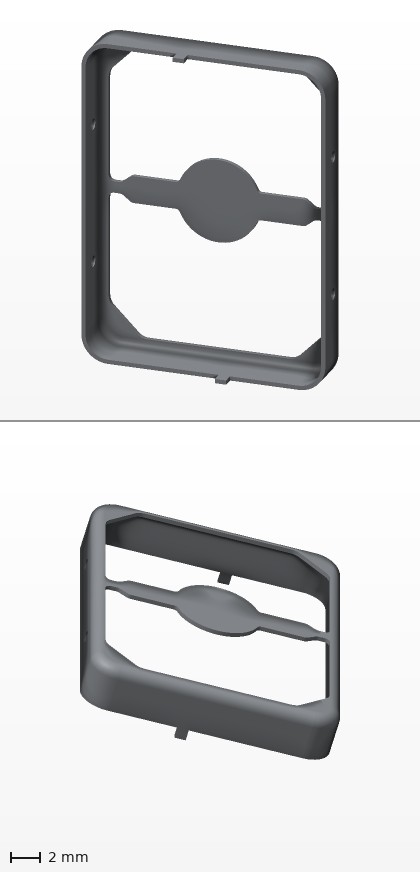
import cadquery as cq

width = 17.5
height = 23.3
total_depth = 4.1
tab_length = 0.8
body_depth = total_depth - tab_length
wall = 0.3
corner_radius = 1.9
rim_radius = 0.8
inner_rim_radius = rim_radius - wall

window_margin = 0.89
window_chamfer = 2.35
window_round = 1.0
window_half_width = width / 2 - window_margin
window_half_height = height / 2 - window_margin

disc_radius = 3.0
disc_fillet = 0.3
bar_half_height = 0.98
neck_half_height = 0.42
neck_length = 0.93
flare_length = 0.72
neck_round = 0.4
flare_round = 0.5

tab_width = 0.8
tab_offset = 1.51

hole_diameter = 0.8
hole_spacing = 10.0
hole_from_floor = 1.75

floor_outer_y = total_depth / 2
floor_inner_y = floor_outer_y - wall
open_rim_y = floor_outer_y - body_depth
pick_margin = 0.05


def rounded_block(size_x, size_z, y_front, y_back, radius, edge_radius):
    """Block with rounded corners along Y and a rounded +Y edge."""
    depth = y_back - y_front
    block = cq.Workplane("XY").box(size_x, depth, size_z)
    block = block.translate((0, (y_front + y_back) / 2, 0))
    block = block.edges("|Y").fillet(radius)
    return block.faces(">Y").edges().fillet(edge_radius)


def move_to_floor(solid):
    """Move a solid extruded toward +Y from Y = 0 into the floor layer."""
    return solid.translate((0, floor_inner_y, 0))


def upright_edges(body, x_reach, z_reach, x_center=0):
    """Edges along Y lying within the given reach of (x_center, 0) in X and Z."""
    box = cq.selectors.BoxSelector(
        (x_center - x_reach, -total_depth, -z_reach),
        (x_center + x_reach, total_depth, z_reach),
    )
    return body.edges("|Y").edges(box)


def tray():
    outer = rounded_block(width, height, open_rim_y, floor_outer_y, corner_radius, rim_radius)
    cavity = rounded_block(
        width - 2 * wall,
        height - 2 * wall,
        open_rim_y,
        floor_inner_y,
        corner_radius - wall,
        inner_rim_radius,
    )
    return outer.cut(cavity)


def window():
    blank = cq.Workplane("XZ").rect(2 * window_half_width, 2 * window_half_height).extrude(-wall)
    blank = blank.edges("|Y").chamfer(window_chamfer)
    return move_to_floor(blank.edges("|Y").fillet(window_round))


def crossbar():
    neck_end = window_half_width - neck_length
    bar_end = neck_end - flare_length
    upper = [
        (-window_half_width, neck_half_height),
        (-neck_end, neck_half_height),
        (-bar_end, bar_half_height),
        (bar_end, bar_half_height),
        (neck_end, neck_half_height),
        (window_half_width, neck_half_height),
    ]
    lower = [(x, -z) for x, z in reversed(upper)]
    bar = cq.Workplane("XZ").polyline(upper + lower).close().extrude(-wall)
    bar = upright_edges(bar, neck_end + pick_margin, height).fillet(flare_round)
    disc = cq.Workplane("XZ").circle(disc_radius).extrude(-wall)
    bar = bar.union(disc)
    joint_reach = disc_radius + pick_margin
    bar = upright_edges(bar, joint_reach, bar_half_height + pick_margin).fillet(disc_fillet)
    return move_to_floor(bar)


def round_neck_roots(body):
    """Fillet the four corners where the necks meet the window edge."""
    z_reach = neck_half_height + pick_margin
    for side in (-1, 1):
        roots = upright_edges(body, pick_margin, z_reach, x_center=side * window_half_width)
        body = roots.fillet(neck_round)
    return body


def tab(side):
    """Tab on the top wall (side = 1) or on the bottom wall (side = -1)."""
    block = cq.Workplane("XY").box(tab_width, tab_length + wall, wall)
    return block.translate(
        (
            -side * tab_offset,
            open_rim_y + (wall - tab_length) / 2,
            side * (height - wall) / 2,
        )
    )


def cross_holes():
    hole_y = floor_outer_y - hole_from_floor
    centers = [(hole_y, -hole_spacing / 2), (hole_y, hole_spacing / 2)]
    holes = cq.Workplane("YZ").pushPoints(centers).circle(hole_diameter / 2)
    return holes.extrude(width, both=True)


result = tray().cut(window()).union(crossbar())
result = round_neck_roots(result)
for wall_side in (1, -1):
    result = result.union(tab(wall_side))
result = result.cut(cross_holes())